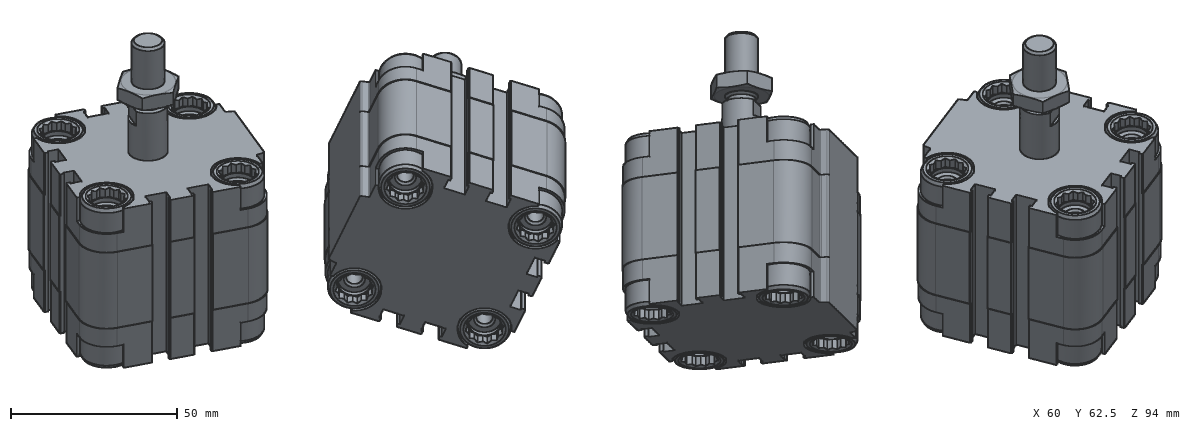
import cadquery as cq
import math


HOUSING_HEIGHT = 55.5
BAND_HALF = 30.0
BAND_STEP = 0.25
CAP_HALF = BAND_HALF - BAND_STEP
CAP_HEIGHT = 14.5
BAND_HEIGHT = HOUSING_HEIGHT - 2 * CAP_HEIGHT
SCREW_OFFSET = 21.0

RIDGE_TOP_Y = 32.5
RIDGE_TOP_HALF = 13.1
RIDGE_FOOT_HALF = 13.6
RIDGE_CREST_FILLET = 0.6
RIDGE_FOOT_FILLET = 0.35
SELECT_MARGIN = 0.1

SLOT_OFFSET = 6.75
SLOT_MOUTH_HALF = 2.7
SLOT_INNER_HALF = 3.35
SLOT_FLOOR = 25.0
SLOT_LIP = 28.4
SLOT_MOUTH_CHAMFER = 0.3

HEAD_RADIUS = 8.0
HEAD_HEIGHT = 8.1
WELL_RADIUS = 8.15
HEAD_CHAMFER_RADIAL = 0.65
HEAD_CHAMFER_AXIAL = 1.15
RECESS_REACH = 2.3
SOCKET_ACROSS_FLATS = 10.0
SOCKET_MOUTH_RADIUS = 6.35
SOCKET_MOUTH_DEPTH = 0.75
SOCKET_DEPTH = 3.5
RELIEF_RADIUS = 10.1 / 2
RELIEF_DEPTH = 5.0
SCREW_BORE_RADIUS = 4.92 / 2
COUNTERSINK_RADIUS = 3.2

ROD_RADIUS = 6.0
ROD_SEAT_DEPTH = CAP_HEIGHT
SHOULDER_HEIGHT = 16.5
FLATS_HEIGHT = 5.0
FLATS_ACROSS = 10.0
NECK_RADIUS = 8.47 / 2
NECK_HEIGHT = 1.9
THREAD_RADIUS = 5.0
TIP_RADIUS = 8.47 / 2
TIP_CHAMFER_HEIGHT = 0.85
ROD_PROJECTION = 38.5

NUT_ACROSS_FLATS = 17.0
NUT_HEIGHT = 5.0
NUT_BASE_HEIGHT = 19.3
NUT_FACE_RADIUS = 16.4 / 2
NUT_CHAMFER_ANGLE = 15.0

HEX_TURN = 30.0


def corner_diameter(across_flats):
    """Circumscribed diameter of a hexagon with this width across flats."""
    return across_flats / math.cos(math.radians(HEX_TURN))


def upright_edges(body, y):
    """Edges of a prism parallel to Z that lie at this y within the width of the ridge."""
    reach = RIDGE_FOOT_HALF + SELECT_MARGIN
    return body.edges("|Z").edges(
        cq.selectors.BoxSelector(
            (-reach, y - SELECT_MARGIN, 0), (reach, y + SELECT_MARGIN, HOUSING_HEIGHT)
        )
    )


def ridged_prism(half, height):
    """Prism of the rounded square with its ridge, standing on z = 0."""
    square = cq.Workplane("XY").rect(2 * half, 2 * half).extrude(height)
    square = square.edges("|Z").fillet(half - SCREW_OFFSET)
    ridge = (
        cq.Workplane("XY")
        .polyline([
            (-RIDGE_FOOT_HALF, 0),
            (-RIDGE_FOOT_HALF, half),
            (-RIDGE_TOP_HALF, RIDGE_TOP_Y),
            (RIDGE_TOP_HALF, RIDGE_TOP_Y),
            (RIDGE_FOOT_HALF, half),
            (RIDGE_FOOT_HALF, 0),
        ])
        .close()
        .extrude(height)
    )
    body = square.union(ridge)
    body = upright_edges(body, RIDGE_TOP_Y).fillet(RIDGE_CREST_FILLET)
    return upright_edges(body, half).fillet(RIDGE_FOOT_FILLET)


def slot_cutter(half, height):
    """T-slot opening towards -Y, flared at the mouth, centred on x = 0."""
    flare = SLOT_MOUTH_HALF + SLOT_MOUTH_CHAMFER
    right = [
        (SLOT_INNER_HALF, -SLOT_FLOOR),
        (SLOT_INNER_HALF, -SLOT_LIP),
        (SLOT_MOUTH_HALF, -SLOT_LIP),
        (SLOT_MOUTH_HALF, -half + SLOT_MOUTH_CHAMFER),
        (flare, -half),
    ]
    left = [(-x, y) for x, y in reversed(right)]
    return cq.Workplane("XY").polyline(right + left).close().extrude(height)


def slotted_prism(half, height):
    """Ridged prism with the T-slots cut into its -X, -Y and +X sides."""
    body = ridged_prism(half, height)
    slot = slot_cutter(half, height)
    for side_angle in (-90, 0, 90):
        for offset in (-SLOT_OFFSET, SLOT_OFFSET):
            body = body.cut(slot.translate((offset, 0, 0)).rotate((0, 0, 0), (0, 0, 1), side_angle))
    return body


def head_recess():
    """Corner space around one screw head on the top face, in the (+X, +Y) corner."""
    reach = BAND_HALF - SCREW_OFFSET + RECESS_REACH
    corner = cq.Workplane("XY").box(reach, reach, HEAD_HEIGHT, centered=False)
    corner = corner.translate((-RECESS_REACH, -RECESS_REACH, 0))
    head_well = cq.Workplane("XY").circle(WELL_RADIUS).extrude(HEAD_HEIGHT)
    chamfer_start = HEAD_HEIGHT - HEAD_CHAMFER_AXIAL
    head = (
        cq.Workplane("XZ")
        .polyline([
            (0, 0),
            (HEAD_RADIUS, 0),
            (HEAD_RADIUS, chamfer_start),
            (HEAD_RADIUS - HEAD_CHAMFER_RADIAL, HEAD_HEIGHT),
            (0, HEAD_HEIGHT),
        ])
        .close()
        .revolve(360, (0, 0), (0, 1))
    )
    base = HOUSING_HEIGHT - HEAD_HEIGHT
    return corner.union(head_well).cut(head).translate((SCREW_OFFSET, SCREW_OFFSET, base))


def head_socket():
    """Twelve-point socket with its mouth, round bottom and countersink, in the same corner."""
    countersink_depth = RELIEF_DEPTH + COUNTERSINK_RADIUS - SCREW_BORE_RADIUS
    rounds = (
        cq.Workplane("XZ")
        .polyline([
            (0, 0),
            (SOCKET_MOUTH_RADIUS, 0),
            (RELIEF_RADIUS, -SOCKET_MOUTH_DEPTH),
            (RELIEF_RADIUS, -RELIEF_DEPTH),
            (COUNTERSINK_RADIUS, -RELIEF_DEPTH),
            (SCREW_BORE_RADIUS, -countersink_depth),
            (0, -countersink_depth),
        ])
        .close()
        .revolve(360, (0, 0), (0, 1))
    )
    hexagonal = cq.Workplane("XY").polygon(6, corner_diameter(SOCKET_ACROSS_FLATS)).extrude(-SOCKET_DEPTH)
    turned = hexagonal.rotate((0, 0, 0), (0, 0, 1), HEX_TURN)
    return rounds.union(hexagonal).union(turned).translate((SCREW_OFFSET, SCREW_OFFSET, HOUSING_HEIGHT))


def make_housing():
    """Raised band between two end caps, with the screw heads, bores and rod hole."""
    cap = slotted_prism(CAP_HALF, CAP_HEIGHT)
    band = slotted_prism(BAND_HALF, BAND_HEIGHT)
    body = cap.union(band.translate((0, 0, CAP_HEIGHT)))
    body = body.union(cap.translate((0, 0, CAP_HEIGHT + BAND_HEIGHT)))

    mid_plane = (0, 0, HOUSING_HEIGHT / 2)
    for upper in (head_recess(), head_socket()):
        for cutter in (upper, upper.mirror("XY", mid_plane)):
            for corner in range(4):
                body = body.cut(cutter.rotate((0, 0, 0), (0, 0, 1), 90 * corner))

    bores = (
        cq.Workplane("XY")
        .rect(2 * SCREW_OFFSET, 2 * SCREW_OFFSET, forConstruction=True)
        .vertices()
        .circle(SCREW_BORE_RADIUS)
        .extrude(HOUSING_HEIGHT)
    )
    rod_hole = (
        cq.Workplane("XY", origin=(0, 0, HOUSING_HEIGHT)).circle(ROD_RADIUS).extrude(-ROD_SEAT_DEPTH)
    )
    return body.cut(bores).cut(rod_hole)


def make_rod():
    """Rod seated in the upper cap, with a relieved neck, threaded end and wrench flats."""
    neck_top = SHOULDER_HEIGHT + NECK_HEIGHT
    rod = (
        cq.Workplane("XZ")
        .polyline([
            (0, -ROD_SEAT_DEPTH),
            (ROD_RADIUS, -ROD_SEAT_DEPTH),
            (ROD_RADIUS, SHOULDER_HEIGHT),
            (NECK_RADIUS, SHOULDER_HEIGHT),
            (NECK_RADIUS, neck_top),
            (THREAD_RADIUS, neck_top + THREAD_RADIUS - NECK_RADIUS),
            (THREAD_RADIUS, ROD_PROJECTION - TIP_CHAMFER_HEIGHT),
            (TIP_RADIUS, ROD_PROJECTION),
            (0, ROD_PROJECTION),
        ])
        .close()
        .revolve(360, (0, 0), (0, 1))
    )
    flat_depth = ROD_RADIUS - FLATS_ACROSS / 2
    for side in (-1, 1):
        flat_middle = (0, side * (FLATS_ACROSS + flat_depth) / 2, SHOULDER_HEIGHT - FLATS_HEIGHT / 2)
        rod = rod.cut(cq.Workplane("XY").box(2 * ROD_RADIUS, flat_depth, FLATS_HEIGHT).translate(flat_middle))
    return rod.translate((0, 0, HOUSING_HEIGHT))


def make_nut():
    """Hexagon nut chamfered on both faces, with two of its flats facing -X and +X."""
    across_corners = corner_diameter(NUT_ACROSS_FLATS)
    nut = cq.Workplane("XY").polygon(6, across_corners).extrude(NUT_HEIGHT)
    nut = nut.rotate((0, 0, 0), (0, 0, 1), HEX_TURN)
    corner_radius = across_corners / 2
    drop = (corner_radius - NUT_FACE_RADIUS) * math.tan(math.radians(NUT_CHAMFER_ANGLE))
    chamfer_envelope = (
        cq.Workplane("XZ")
        .polyline([
            (0, 0),
            (NUT_FACE_RADIUS, 0),
            (corner_radius, drop),
            (corner_radius, NUT_HEIGHT - drop),
            (NUT_FACE_RADIUS, NUT_HEIGHT),
            (0, NUT_HEIGHT),
        ])
        .close()
        .revolve(360, (0, 0), (0, 1))
    )
    thread_hole = cq.Workplane("XY").circle(THREAD_RADIUS).extrude(NUT_HEIGHT)
    nut = nut.intersect(chamfer_envelope).cut(thread_hole)
    return nut.translate((0, 0, HOUSING_HEIGHT + NUT_BASE_HEIGHT))


housing = make_housing()
rod = make_rod()
nut = make_nut()

result = cq.Compound.makeCompound([housing.val(), rod.val(), nut.val()])